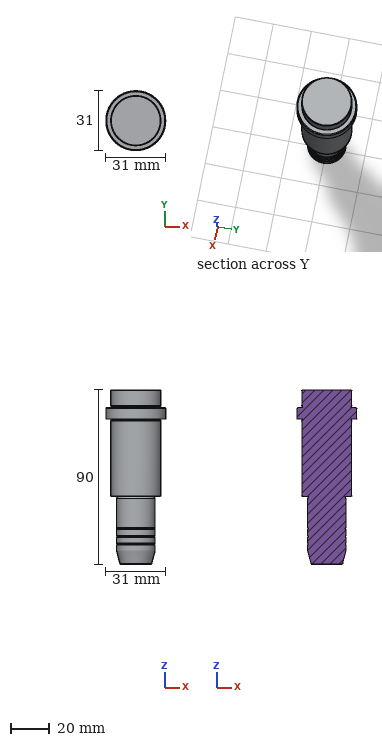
import cadquery as cq
import math

total_length = 90.0
collar_top = 81.0
collar_bottom = 75.0
body_bottom = 35.0
taper_top = 7.0

collar_radius = 15.5
body_radius = 13.0
stem_radius = 10.0

collar_chamfer = 0.5
body_chamfer = 0.4
tip_chamfer = 0.45
tip_taper_angle = 15.0

neck_width = 1.0
neck_depth = 0.3
neck_flat = neck_width / 2
stem_neck_depth = 0.5

groove_count = 3
groove_pitch = 4.05
groove_width = 1.0
groove_depth = 0.4
lowest_groove_level = 10.4

tip_radius = stem_radius - (taper_top - tip_chamfer) * math.tan(math.radians(tip_taper_angle))
neck_radius = body_radius - neck_depth


def make_stem():
    """Tapered lower pin with a conical relief where it meets the body."""
    outline = [
        (0, 0),
        (tip_radius - tip_chamfer, 0),
        (tip_radius, tip_chamfer),
        (stem_radius, taper_top),
        (stem_radius, body_bottom - neck_width),
        (stem_radius - stem_neck_depth, body_bottom),
        (0, body_bottom),
    ]
    return cq.Workplane("XZ").polyline(outline).close().revolve(360, (0, 0), (0, 1))


def make_body():
    """Main barrel, collar and head, with relief necks beside the collar."""
    outline = [
        (0, body_bottom),
        (body_radius - body_chamfer, body_bottom),
        (body_radius, body_bottom + body_chamfer),
        (body_radius, collar_bottom - neck_width),
        (neck_radius, collar_bottom - neck_flat),
        (neck_radius, collar_bottom),
        (collar_radius, collar_bottom),
        (collar_radius, collar_top - collar_chamfer),
        (collar_radius - collar_chamfer, collar_top),
        (neck_radius, collar_top),
        (neck_radius, collar_top + neck_flat),
        (body_radius, collar_top + neck_width),
        (body_radius, total_length - body_chamfer),
        (body_radius - body_chamfer, total_length),
        (0, total_length),
    ]
    return cq.Workplane("XZ").polyline(outline).close().revolve(360, (0, 0), (0, 1))


def make_groove(level):
    """Ring cutter for one V-groove centred at the given level."""
    outline = [
        (stem_radius - groove_depth, level),
        (stem_radius, level + groove_width / 2),
        (collar_radius, level + groove_width / 2),
        (collar_radius, level - groove_width / 2),
        (stem_radius, level - groove_width / 2),
    ]
    return cq.Workplane("XZ").polyline(outline).close().revolve(360, (0, 0), (0, 1))


result = make_body().union(make_stem())
for index in range(groove_count):
    result = result.cut(make_groove(lowest_groove_level + index * groove_pitch))